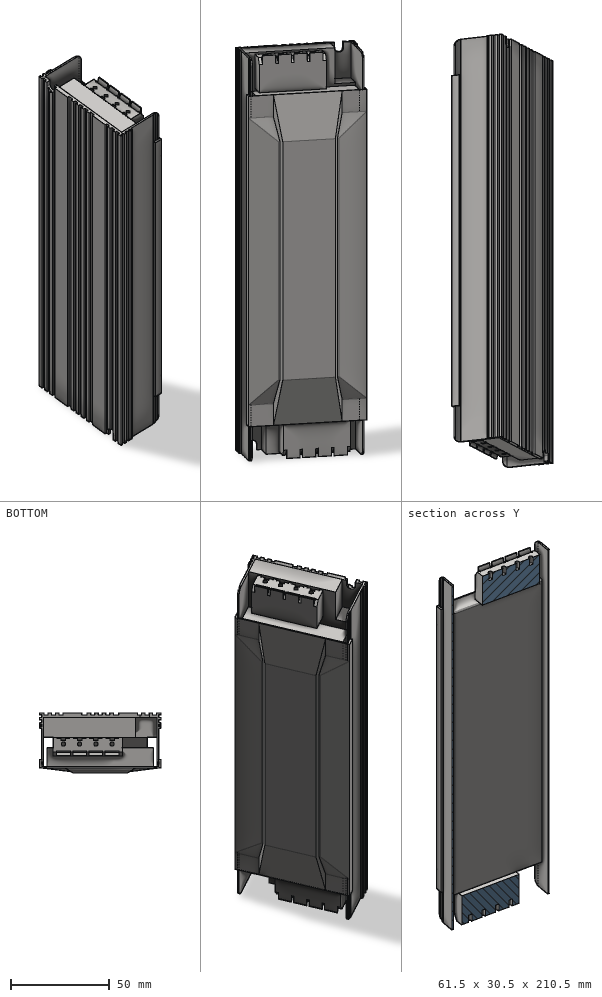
import cadquery as cq

LENGTH = 210.5
WIDTH = 61.5
DEPTH = 30.5
END_STANDOUT = 0.5

SINK_LENGTH = LENGTH - 2 * END_STANDOUT
HALF_WIDTH = WIDTH / 2
PLATE_TOP = 2.3
WALL_INNER = 28.6
WALL_OUTER = 29.7
LIP_OUTER = 29.5
LIP_START = 23.0
LIP_BEVEL_END = 23.5
WALL_TOP = 27.2
WALL_CORNER_RADIUS = 3.5
SNAP_GROOVE_FROM = 24.9
SNAP_GROOVE_TO = 26.1
SNAP_GROOVE_DEPTH = 0.2

GROOVE_DEPTH = 1.0
NARROW_GROOVE = 2.0
WIDE_GROOVE = 2.5
GROOVE_PITCH = 2 * NARROW_GROOVE
WIDE_GROOVE_X = 8.0
OUTER_GROOVE_X = 27.4
OUTER_GROOVE_COUNT = 3

SIDE_RIBS = [(0.0, 1.0), (2.3, 3.5)]
CHANNEL_FROM = 4.8
CHANNEL_TO = 8.0
CHANNEL_BEVEL_Y = 0.6
CHANNEL_BEVEL_X = 0.2
CHANNEL_SKIN = 0.5
CHANNEL_ENDS = 0.8

MOUNT_SLOT_X = 22.5
MOUNT_SLOT_RADIUS = 2.3
MOUNT_SLOT_DEPTH = 5.0

BLOCK_TOP = 12.5
BLOCK_NOTCH_X = 18.0

LID_LENGTH = 172.3
LID_THICKNESS = 0.6
LID_TOP = WALL_TOP + LID_THICKNESS
FLANGE_BOTTOM = LIP_BEVEL_END
WING_RISE = 2.0
WING_TOP_HALF = 15.8
WING_TOP_LENGTH = 124.3
WING_BASE_LENGTH = 149.5
PAD_TOP_HALF = 13.7
PAD_BASE_HALF = 18.0
PAD_TOP_LENGTH = WING_TOP_LENGTH

HOUSING_WIDTH = 54.0
HOUSING_BOTTOM = 17.5
HOUSING_EDGE_RADIUS = 0.6

TERMINAL_LEFT = -11.2
TERMINAL_RIGHT = 23.8
TERMINAL_BACK = 22.0
TERMINAL_LENGTH = (LENGTH - LID_LENGTH) / 2
SHIELD_HEIGHT = 1.3
TERMINAL_FACE = LENGTH / 2 - SHIELD_HEIGHT
SHIELD_CREST_Y = 21.5
BEVEL_START_Y = 19.8
BEVEL_DROP = 3.2
POLE_COUNT = 4
POLE_PITCH = 8.2
POCKET_WIDTH = 7.0
POCKET_FRONT = 19.4
POCKET_FLOOR_BACK = 20.0
POCKET_DEPTH = 3.8
SCREW_HOLE_RADIUS = 1.0
SCREW_HOLE_Y = 15.8
SCREW_HOLE_DEPTH = 4.2
ENTRY_WIDTH = 2.3
ENTRY_HEIGHT = 1.7
FRONT_RECESS_WIDTH = 6.3
FRONT_RECESS_HEIGHT = 0.6
FRONT_RECESS_DEPTH = 2.1

NOTCH_DEPTH = TERMINAL_LENGTH


def box(x_range, y_range, z_range):
    """Box spanning the given (low, high) ranges."""
    lows, highs = zip(x_range, y_range, z_range)
    sizes = [high - low for low, high in zip(lows, highs)]
    return cq.Workplane("XY").box(*sizes, centered=False).translate(lows)


def half_turn(shape):
    """Copy turned end for end about the Y axis."""
    return shape.rotate((0, 0, 0), (0, 1, 0), 180)


def along_length(outline, length):
    """Prism of a closed XY outline, centred on Z = 0."""
    return cq.Workplane("XY").polyline(outline).close().extrude(length / 2, both=True)


def right_wall():
    groove_floor = LIP_OUTER - SNAP_GROOVE_DEPTH
    outline = [
        (WALL_INNER, PLATE_TOP),
        (WALL_OUTER, PLATE_TOP),
        (WALL_OUTER, LIP_START),
        (LIP_OUTER, LIP_BEVEL_END),
        (LIP_OUTER, SNAP_GROOVE_FROM),
        (groove_floor, SNAP_GROOVE_FROM),
        (groove_floor, SNAP_GROOVE_TO),
        (LIP_OUTER, SNAP_GROOVE_TO),
        (LIP_OUTER, WALL_TOP),
        (WALL_INNER, WALL_TOP),
    ]
    wall = along_length(outline, SINK_LENGTH)
    rounded_side = (
        box((0, HALF_WIDTH), (0, WALL_TOP), (-SINK_LENGTH / 2, SINK_LENGTH / 2))
        .faces(">Y").edges("|X").fillet(WALL_CORNER_RADIUS)
    )
    return wall.intersect(rounded_side)


def right_side_ribs():
    half = SINK_LENGTH / 2
    bevel_x = HALF_WIDTH - CHANNEL_BEVEL_X
    ribs = along_length(
        [
            (WALL_INNER, CHANNEL_FROM),
            (bevel_x, CHANNEL_FROM),
            (HALF_WIDTH, CHANNEL_FROM + CHANNEL_BEVEL_Y),
            (HALF_WIDTH, CHANNEL_TO - CHANNEL_BEVEL_Y),
            (bevel_x, CHANNEL_TO),
            (WALL_INNER, CHANNEL_TO),
        ],
        SINK_LENGTH,
    )
    tunnel_y = (CHANNEL_FROM + CHANNEL_ENDS, CHANNEL_TO - CHANNEL_ENDS)
    ribs = ribs.cut(box((WALL_OUTER, HALF_WIDTH - CHANNEL_SKIN), tunnel_y, (-half, half)))
    for y_range in SIDE_RIBS:
        ribs = ribs.union(box((WALL_INNER, HALF_WIDTH), y_range, (-half, half)))
    return ribs


def face_grooves():
    """Centre and width of each groove in the ribbed face."""
    grooves = [(i * GROOVE_PITCH, NARROW_GROOVE) for i in (-1, 0, 1)]
    for side in (-1, 1):
        grooves.append((side * WIDE_GROOVE_X, WIDE_GROOVE))
        for i in range(OUTER_GROOVE_COUNT):
            grooves.append((side * (OUTER_GROOVE_X - i * GROOVE_PITCH), NARROW_GROOVE))
    return grooves


def mount_slot():
    """Round-ended slot through the base plate, open at the +Z end."""
    arc_z = SINK_LENGTH / 2 - MOUNT_SLOT_DEPTH + MOUNT_SLOT_RADIUS
    x_range = (-MOUNT_SLOT_X - MOUNT_SLOT_RADIUS, -MOUNT_SLOT_X + MOUNT_SLOT_RADIUS)
    round_end = (
        cq.Workplane("XZ", origin=(-MOUNT_SLOT_X, 0, arc_z)).circle(MOUNT_SLOT_RADIUS).extrude(-PLATE_TOP)
    )
    return round_end.union(box(x_range, (0, PLATE_TOP), (arc_z, LENGTH / 2)))


def make_heat_sink():
    half = SINK_LENGTH / 2
    sink = box((-WALL_OUTER, WALL_OUTER), (0, PLATE_TOP), (-half, half))
    for part in (right_wall(), right_side_ribs()):
        sink = sink.union(part).union(half_turn(part))
    for center, width in face_grooves():
        x_range = (center - width / 2, center + width / 2)
        sink = sink.cut(box(x_range, (0, GROOVE_DEPTH), (-half, half)))
    slot = mount_slot()
    return sink.cut(slot).cut(half_turn(slot))


def make_potting_block():
    half = SINK_LENGTH / 2
    y_range = (PLATE_TOP, BLOCK_TOP)
    block = box((-WALL_INNER, WALL_INNER), y_range, (-half, half))
    notch = box((-WALL_INNER, -BLOCK_NOTCH_X), y_range, (LENGTH / 2 - NOTCH_DEPTH, LENGTH / 2))
    return block.cut(notch).cut(half_turn(notch))


def lid_wings():
    """Low tapered rise over the full width of the lid."""
    return (
        cq.Workplane("XZ", origin=(0, LID_TOP, 0))
        .rect(WIDTH, WING_BASE_LENGTH)
        .workplane(offset=-WING_RISE)
        .rect(2 * WING_TOP_HALF, WING_TOP_LENGTH)
        .loft(ruled=True)
    )


def lid_pad():
    """Raised middle strip that slopes down to both ends of the lid."""
    return (
        cq.Workplane("XZ", origin=(0, LID_TOP, 0))
        .rect(2 * PAD_BASE_HALF, LID_LENGTH)
        .workplane(offset=LID_TOP - DEPTH)
        .rect(2 * PAD_TOP_HALF, PAD_TOP_LENGTH)
        .loft(ruled=True)
    )


def make_lid():
    half = LID_LENGTH / 2
    lid = box((-HALF_WIDTH, HALF_WIDTH), (WALL_TOP, LID_TOP), (-half, half))
    flange = box((LIP_OUTER, HALF_WIDTH), (FLANGE_BOTTOM, LID_TOP), (-half, half))
    lid = lid.union(flange).union(half_turn(flange))
    return lid.union(lid_wings()).union(lid_pad())


def make_inner_housing():
    half_width = HOUSING_WIDTH / 2
    half_length = LID_LENGTH / 2
    housing = box((-half_width, half_width), (HOUSING_BOTTOM, WALL_TOP), (-half_length, half_length))
    return housing.faces("<Y").edges().fillet(HOUSING_EDGE_RADIUS)


def across_pole(outline, center_x, width):
    """Prism of a closed YZ outline, centred on a pole."""
    profile = cq.Workplane("YZ", origin=(center_x, 0, 0)).polyline(outline).close()
    return profile.extrude(width / 2, both=True)


def wire_pocket(center_x):
    """Pocket behind the terminal face, open to the bevelled back edge."""
    y_range = (POCKET_FRONT, TERMINAL_BACK)
    x_range = (center_x - POCKET_WIDTH / 2, center_x + POCKET_WIDTH / 2)
    return box(x_range, y_range, (TERMINAL_FACE - POCKET_DEPTH, LENGTH / 2))


def pocket_shield(center_x):
    """Back wall of a pocket, sloping on its inside and rising to the full length."""
    floor = TERMINAL_FACE - POCKET_DEPTH
    outline = [
        (POCKET_FLOOR_BACK, floor),
        (SHIELD_CREST_Y, LENGTH / 2),
        (TERMINAL_BACK, LENGTH / 2),
        (TERMINAL_BACK, floor),
    ]
    return across_pole(outline, center_x, POCKET_WIDTH)


def screw_access(center_x):
    """Screw hole, with a wire entry and a shallow recess on the front edge."""
    hole = (
        cq.Workplane("XY", origin=(center_x, SCREW_HOLE_Y, TERMINAL_FACE))
        .circle(SCREW_HOLE_RADIUS).extrude(-SCREW_HOLE_DEPTH)
    )
    entry = box(
        (center_x - ENTRY_WIDTH / 2, center_x + ENTRY_WIDTH / 2),
        (BLOCK_TOP, BLOCK_TOP + ENTRY_HEIGHT),
        (TERMINAL_FACE - SCREW_HOLE_DEPTH, TERMINAL_FACE),
    )
    recess = box(
        (center_x - FRONT_RECESS_WIDTH / 2, center_x + FRONT_RECESS_WIDTH / 2),
        (BLOCK_TOP, BLOCK_TOP + FRONT_RECESS_HEIGHT),
        (TERMINAL_FACE - FRONT_RECESS_DEPTH, TERMINAL_FACE),
    )
    return hole.union(entry.union(recess))


def make_terminal():
    """Terminal block of the +Z end."""
    bottom = LENGTH / 2 - TERMINAL_LENGTH
    middle = (TERMINAL_LEFT + TERMINAL_RIGHT) / 2
    outline = [
        (BLOCK_TOP, bottom),
        (BLOCK_TOP, TERMINAL_FACE),
        (BEVEL_START_Y, TERMINAL_FACE),
        (TERMINAL_BACK, TERMINAL_FACE - BEVEL_DROP),
        (TERMINAL_BACK, bottom),
    ]
    terminal = across_pole(outline, middle, TERMINAL_RIGHT - TERMINAL_LEFT)
    for i in range(POLE_COUNT):
        pole_x = middle + (i - (POLE_COUNT - 1) / 2) * POLE_PITCH
        terminal = terminal.cut(wire_pocket(pole_x)).cut(screw_access(pole_x))
        terminal = terminal.union(pocket_shield(pole_x))
    return terminal


heat_sink = make_heat_sink()
potting_block = make_potting_block()
lid = make_lid()
inner_housing = make_inner_housing()
terminal = make_terminal()
terminals = [terminal if end == 0 else half_turn(terminal) for end in range(2)]

result = cq.Compound.makeCompound(
    [heat_sink.val(), potting_block.val(), lid.val(), inner_housing.val()] + [t.val() for t in terminals]
)